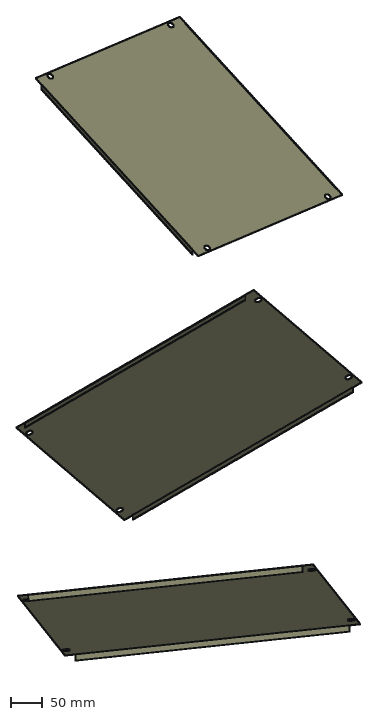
import cadquery as cq

panel_length = 482.0
panel_width = 266.5
overall_height = 11.0
sheet = 0.8

flange_length = 447.5

slot_spacing_x = 465.0
slot_spacing_y = 222.5
slot_length = 11.0
slot_width = 7.0


def make_panel():
    return (
        cq.Workplane("XY")
        .workplane(offset=overall_height - sheet)
        .rect(panel_length, panel_width)
        .extrude(sheet)
    )


def make_flange(side):
    """Vertical strip flush with the long edge on the given Y side."""
    y_center = side * (panel_width - sheet) / 2
    return cq.Workplane("XY").center(0, y_center).rect(flange_length, sheet).extrude(overall_height)


def make_slots():
    return (
        cq.Workplane("XY")
        .rect(slot_spacing_x, slot_spacing_y, forConstruction=True)
        .vertices()
        .slot2D(slot_length, slot_width)
        .extrude(overall_height)
    )


result = make_panel()
for side in (-1, 1):
    result = result.union(make_flange(side))
result = result.cut(make_slots())